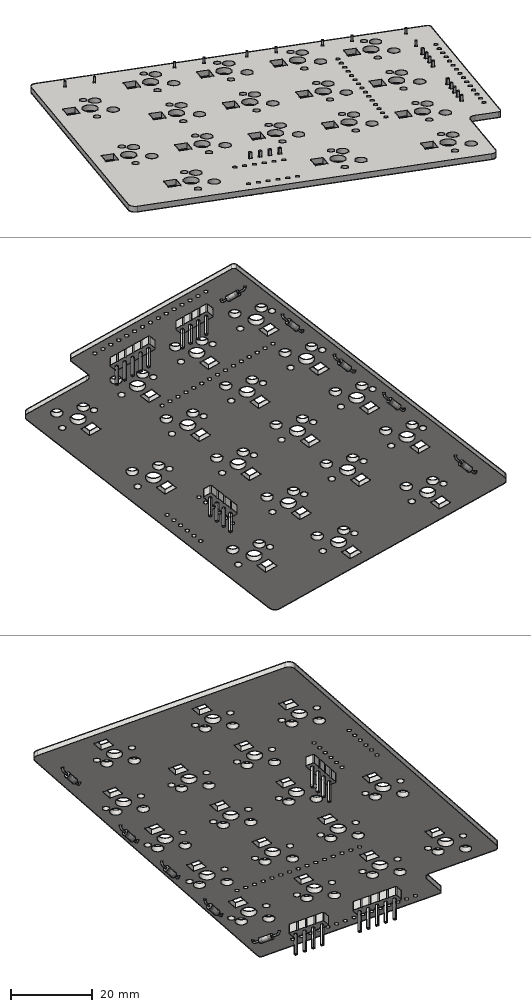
import cadquery as cq

SOCKET_ROW_LENGTH = 35.6
SOCKET_ROW_HOLES = 15
PITCH = SOCKET_ROW_LENGTH / (SOCKET_ROW_HOLES - 1)

BOARD_WIDTH = 75.4
BOARD_LENGTH = 104.0
BOARD_THICKNESS = 1.6
TAB_WIDTH = 53.0
SHOULDER_Y = 95.2
CORNER_RADIUS = 1.8
TAB_RADIUS = 0.8

KEY_COLUMNS = 4
KEY_GRID_WIDTH = 57.1
KEY_PITCH = KEY_GRID_WIDTH / (KEY_COLUMNS - 1)
FIRST_KEY_X = 8.5
FIRST_KEY_Y = 9.6
KEY_ROWS = 5
KEY_CELLS = [(column, row) for column in range(KEY_COLUMNS - 1) for row in range(1, KEY_ROWS)]
KEY_CELLS += [(0.5, 0), (2, 0), (3, 0.5), (3, 2.5), (3, 4)]

SWITCH_POST_DIAMETER = 4.0
SIDE_PEG_DIAMETER = 1.8
SIDE_PEG_OFFSET = 2 * PITCH
CONTACT_DIAMETER = 3.0
CONTACT_OFFSETS = [(PITCH, 2 * PITCH), (-1.5 * PITCH, PITCH)]
LED_WINDOW_WIDTH = 3.6
LED_WINDOW_LENGTH = 3.2
LED_WINDOW_OFFSET = 4.9

SOCKET_HOLE_DIAMETER = 1.02
CONTROLLER_X = 11.1
CONTROLLER_Y = 76.2
CONTROLLER_ROW_SPACING = 10 * PITCH
MODULE_X = 61.9
MODULE_Y = 31.7
MODULE_ROW_SPACING = 4 * PITCH
MODULE_ROW_HOLES = 6

HEADER_HOLE_DIAMETER = 1.0
PIN_SIDE = 0.64
PIN_TOP_Z = 3.0
PIN_BOTTOM_Z = -8.5
HEADER_HEIGHT = PITCH
HEADER_CHAMFER = PITCH / 10
TOP_PARTS_Y = 96.8
HEADERS = [
    (15.1, TOP_PARTS_Y, 4, 0),
    (33.6, TOP_PARTS_Y, 5, 0),
    (57.9, 37.1, 4, 90),
]

DIODE_HOLE_DIAMETER = 0.7
LEAD_DIAMETER = 0.5
LEAD_SPAN = 3 * PITCH
LEAD_TOP_Z = PIN_TOP_Z
LEAD_BEND_RADIUS = 0.7
DIODE_LENGTH = 3.5
DIODE_CAP_LENGTH = 0.4
DIODE_CAP_DIAMETER = 1.6
DIODE_GLASS_DIAMETER = 1.5
DIODE_GLASS_LENGTH = 1.9
DIODE_AXIS_Z = -DIODE_CAP_DIAMETER / 2
DIODES = [
    (6.4, TOP_PARTS_Y, 0),
    (2.4, 79.1, 90),
    (2.4, 59.5, 90),
    (2.4, 40.8, 90),
    (4.1, 11.7, 90),
]


def place(shape, x, y, angle):
    """Turn a shape about Z, then move it to its place on the board."""
    return shape.rotate((0, 0, 0), (0, 0, 1), angle).translate((x, y, 0))


def pin_offsets(count):
    """Positions of evenly pitched pins along X, the first one at zero."""
    return [(i * PITCH, 0) for i in range(count)]


def through_holes(points, diameter):
    """Cutting cylinders through the board thickness."""
    return cq.Workplane("XY").pushPoints(points).circle(diameter / 2).extrude(BOARD_THICKNESS)


def board_blank():
    """Plate with a tab at its rear left, rounded at every corner."""
    corners = [
        (0, 0, CORNER_RADIUS),
        (BOARD_WIDTH, 0, CORNER_RADIUS),
        (BOARD_WIDTH, SHOULDER_Y, CORNER_RADIUS),
        (TAB_WIDTH, SHOULDER_Y, CORNER_RADIUS),
        (TAB_WIDTH, BOARD_LENGTH, TAB_RADIUS),
        (0, BOARD_LENGTH, TAB_RADIUS),
    ]
    outline = [(x, y) for x, y, _ in corners]
    blank = cq.Workplane("XY").polyline(outline).close().extrude(BOARD_THICKNESS)
    for x, y, radius in corners:
        corner_edge = cq.selectors.NearestToPointSelector((x, y, BOARD_THICKNESS / 2))
        blank = blank.edges("|Z").edges(corner_edge).fillet(radius)
    return blank


def key_openings():
    """Post, peg, contact and LED openings for every key switch."""
    keys = [(FIRST_KEY_X + c * KEY_PITCH, FIRST_KEY_Y + r * KEY_PITCH) for c, r in KEY_CELLS]
    pegs = [(x + side * SIDE_PEG_OFFSET, y) for x, y in keys for side in (-1, 1)]
    contacts = [(x + dx, y + dy) for x, y in keys for dx, dy in CONTACT_OFFSETS]
    windows = (
        cq.Workplane("XY")
        .pushPoints([(x, y - LED_WINDOW_OFFSET) for x, y in keys])
        .rect(LED_WINDOW_WIDTH, LED_WINDOW_LENGTH)
        .extrude(BOARD_THICKNESS)
    )
    return [
        through_holes(keys, SWITCH_POST_DIAMETER),
        through_holes(pegs, SIDE_PEG_DIAMETER),
        through_holes(contacts, CONTACT_DIAMETER),
        windows,
    ]


def socket_holes():
    """Two long rows for a controller board and two short rows for a side module."""
    points = [
        (CONTROLLER_X + i * PITCH, CONTROLLER_Y + row * CONTROLLER_ROW_SPACING)
        for i in range(SOCKET_ROW_HOLES)
        for row in range(2)
    ]
    points += [
        (MODULE_X + row * MODULE_ROW_SPACING, MODULE_Y + i * PITCH)
        for i in range(MODULE_ROW_HOLES)
        for row in range(2)
    ]
    return through_holes(points, SOCKET_HOLE_DIAMETER)


def build_board():
    """Circuit board with all its openings."""
    cutters = key_openings() + [socket_holes()]
    for x, y, count, angle in HEADERS:
        cutters.append(place(through_holes(pin_offsets(count), HEADER_HOLE_DIAMETER), x, y, angle))
    lead_points = [(-LEAD_SPAN / 2, 0), (LEAD_SPAN / 2, 0)]
    for x, y, angle in DIODES:
        cutters.append(place(through_holes(lead_points, DIODE_HOLE_DIAMETER), x, y, angle))
    board = board_blank()
    for cutter in cutters:
        board = board.cut(cutter)
    return board


def build_header(count):
    """Row of chamfered insulator blocks under the board with square pins through them."""
    block = (
        cq.Workplane("XY")
        .workplane(offset=-HEADER_HEIGHT)
        .rect(PITCH, PITCH)
        .extrude(HEADER_HEIGHT)
        .edges("|Z")
        .chamfer(HEADER_CHAMFER)
    )
    pin = (
        cq.Workplane("XY")
        .workplane(offset=PIN_BOTTOM_Z)
        .rect(PIN_SIDE, PIN_SIDE)
        .extrude(PIN_TOP_Z - PIN_BOTTOM_Z)
    )
    pin_block = block.union(pin)
    header = cq.Workplane("XY")
    for x, y in pin_offsets(count):
        header = header.union(pin_block.translate((x, y, 0)))
    return header


def build_diode():
    """Diode lying against the underside of the board, its bent leads rising through it."""
    half_span = LEAD_SPAN / 2
    bend_x = half_span - LEAD_BEND_RADIUS
    bend_z = DIODE_AXIS_Z + LEAD_BEND_RADIUS
    lead_path = (
        cq.Workplane("XZ")
        .moveTo(-half_span, LEAD_TOP_Z)
        .lineTo(-half_span, bend_z)
        .radiusArc((-bend_x, DIODE_AXIS_Z), -LEAD_BEND_RADIUS)
        .lineTo(bend_x, DIODE_AXIS_Z)
        .radiusArc((half_span, bend_z), -LEAD_BEND_RADIUS)
        .lineTo(half_span, LEAD_TOP_Z)
    )
    lead = (
        cq.Workplane("XY")
        .workplane(offset=LEAD_TOP_Z)
        .center(-half_span, 0)
        .circle(LEAD_DIAMETER / 2)
        .sweep(lead_path)
    )
    cap_start_x = DIODE_LENGTH / 2 - DIODE_CAP_LENGTH
    right_profile = [
        (DIODE_GLASS_LENGTH / 2, DIODE_GLASS_DIAMETER / 2),
        (cap_start_x, DIODE_CAP_DIAMETER / 2),
        (DIODE_LENGTH / 2, DIODE_CAP_DIAMETER / 2),
        (DIODE_LENGTH / 2, 0),
    ]
    left_profile = [(-x, radius) for x, radius in reversed(right_profile)]
    body = (
        cq.Workplane("XZ")
        .polyline(left_profile + right_profile)
        .close()
        .revolve(360, (0, 0, 0), (1, 0, 0))
        .translate((0, 0, DIODE_AXIS_Z))
    )
    return body.union(lead)


board = build_board()
headers = [place(build_header(count), x, y, angle) for x, y, count, angle in HEADERS]
diodes = [place(build_diode(), x, y, angle) for x, y, angle in DIODES]

bodies = [board, *headers, *diodes]
result = cq.Compound.makeCompound([body.val() for body in bodies])